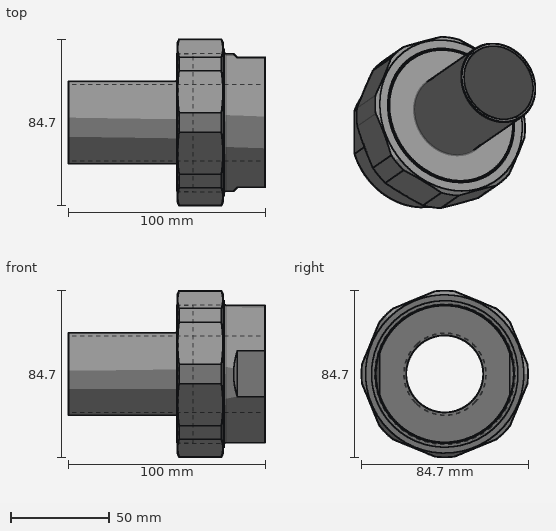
import cadquery as cq
import math

TOTAL_LENGTH = 100.0
BORE_DIAMETER = 39.0

TUBE_DIAMETER = 42.0
TUBE_END_CHAMFER = 0.3
FLANGE_DIAMETER = 70.0
FLANGE_START = 55.1
FLANGE_THICKNESS = 8.0
FLANGE_EDGE_CHAMFER = 0.2
TUBE_ROOT_FILLET = 0.4

NUT_START = 55.3
NUT_END = 78.7
NUT_DIAMETER = 84.7
NUT_ACROSS_FLATS = 81.5
NUT_SIDES = 8
NUT_BORE_DIAMETER = 70.5
NUT_MOUTH_CHAMFER = 0.5
NUT_FACE_DIAMETER = 80.4
NUT_CHAMFER_LENGTH = 1.0
NUT_RING_DIAMETER = 74.4
NUT_RING_HEIGHT = 0.4

END_BODY_DIAMETER = FLANGE_DIAMETER
END_BODY_START = FLANGE_START + FLANGE_THICKNESS
END_EDGE_CHAMFER = 0.3
COLLAR_DIAMETER = NUT_BORE_DIAMETER
COLLAR_TAPER_START = NUT_END + NUT_RING_HEIGHT
COLLAR_END = 79.9
FLATS_WIDTH = 66.0
FLATS_START = 85.9


def cylinder(diameter, start, end):
    """Solid cylinder along X between two positions."""
    return cq.Workplane("YZ", origin=(start, 0, 0)).circle(diameter / 2).extrude(end - start)


def revolve_profile(points):
    """Revolve an (x, radius) outline around the X axis."""
    return cq.Workplane("XY").polyline(points).close().revolve(360, (0, 0, 0), (1, 0, 0))


def make_tailpiece():
    flange_end = FLANGE_START + FLANGE_THICKNESS
    tube_radius = TUBE_DIAMETER / 2
    flange_radius = FLANGE_DIAMETER / 2
    root_x = FLANGE_START - TUBE_ROOT_FILLET
    root_radius = tube_radius + TUBE_ROOT_FILLET
    arc_offset = TUBE_ROOT_FILLET * math.sqrt(0.5)
    outline = (
        cq.Workplane("XY")
        .moveTo(0, BORE_DIAMETER / 2)
        .lineTo(0, tube_radius - TUBE_END_CHAMFER)
        .lineTo(TUBE_END_CHAMFER, tube_radius)
        .lineTo(root_x, tube_radius)
        .threePointArc((root_x + arc_offset, root_radius - arc_offset), (FLANGE_START, root_radius))
        .lineTo(FLANGE_START, flange_radius - FLANGE_EDGE_CHAMFER)
        .lineTo(FLANGE_START + FLANGE_EDGE_CHAMFER, flange_radius)
        .lineTo(flange_end, flange_radius)
        .lineTo(flange_end, BORE_DIAMETER / 2)
        .close()
    )
    return outline.revolve(360, (0, 0, 0), (1, 0, 0))


def make_nut():
    ring_end = NUT_END + NUT_RING_HEIGHT
    corner_diameter = NUT_ACROSS_FLATS / math.cos(math.pi / NUT_SIDES)
    octagon = (
        cq.Workplane("YZ", origin=(NUT_START, 0, 0))
        .polygon(NUT_SIDES, corner_diameter)
        .extrude(ring_end - NUT_START)
    )
    face_radius = NUT_FACE_DIAMETER / 2
    outer_radius = NUT_DIAMETER / 2
    ring_radius = NUT_RING_DIAMETER / 2
    turned_blank = revolve_profile([
        (NUT_START, 0),
        (NUT_START, face_radius),
        (NUT_START + NUT_CHAMFER_LENGTH, outer_radius),
        (NUT_END - NUT_CHAMFER_LENGTH, outer_radius),
        (NUT_END, face_radius),
        (NUT_END, ring_radius),
        (ring_end, ring_radius),
        (ring_end, 0),
    ])
    bore_radius = NUT_BORE_DIAMETER / 2
    bore = revolve_profile([
        (NUT_START, 0),
        (NUT_START, bore_radius + NUT_MOUTH_CHAMFER),
        (NUT_START + NUT_MOUTH_CHAMFER, bore_radius),
        (ring_end, bore_radius),
        (ring_end, 0),
    ])
    return octagon.intersect(turned_blank).cut(bore)


def cut_wrench_flats(body):
    """Cut flats on +Y and -Y, each running out through a 45 degree slope."""
    run_out = (END_BODY_DIAMETER - FLATS_WIDTH) / 2
    for side in (1, -1):
        flat_y = side * FLATS_WIDTH / 2
        outer_y = side * END_BODY_DIAMETER / 2
        cutter = (
            cq.Workplane("XY")
            .polyline([
                (FLATS_START, flat_y),
                (TOTAL_LENGTH, flat_y),
                (TOTAL_LENGTH, outer_y),
                (FLATS_START - run_out, outer_y),
            ])
            .close()
            .extrude(END_BODY_DIAMETER / 2, both=True)
        )
        body = body.cut(cutter)
    return body


def make_end_body():
    body = cylinder(END_BODY_DIAMETER, END_BODY_START, TOTAL_LENGTH)
    body = body.faces(">X").chamfer(END_EDGE_CHAMFER)
    collar_radius = COLLAR_DIAMETER / 2
    collar = revolve_profile([
        (END_BODY_START, 0),
        (END_BODY_START, collar_radius),
        (COLLAR_TAPER_START, collar_radius),
        (COLLAR_END, END_BODY_DIAMETER / 2),
        (COLLAR_END, 0),
    ])
    body = body.union(collar)
    body = body.cut(cylinder(BORE_DIAMETER, END_BODY_START, TOTAL_LENGTH))
    return cut_wrench_flats(body)


tailpiece = make_tailpiece()
nut = make_nut()
end_body = make_end_body()

result = cq.Compound.makeCompound([tailpiece.val(), nut.val(), end_body.val()])